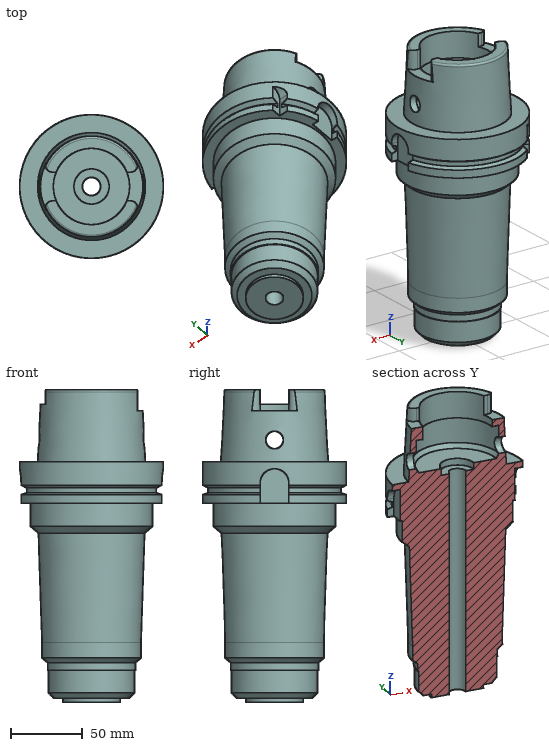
import cadquery as cq
import math


shank_length = 50.0
shank_base_radius = 37.5
shank_end_radius = 35.0
shank_rim_fillet = 1.5

flange_radius = 50.0
flange_bottom_z = -29.0
groove_floor_radius = 46.25
groove_top_z = -16.3
groove_floor_top_z = -18.3
groove_floor_bottom_z = -21.7
groove_bottom_z = -23.0

neck_radius = 42.5
neck_bottom_z = -45.0
body_top_radius = 37.0
body_top_z = -49.7
body_bottom_radius = 34.5
body_taper_end_z = -125.5
body_bottom_z = -136.5
collar_radius = 30.6
collar_top_z = -139.7
collar_bottom_z = -145.0
nose_radius = 30.0
nose_chamfer = 4.0
nose_bottom_z = -164.7
tip_radius = 20.0
tip_bottom_z = -167.4

mouth_radius = 26.5
mouth_bottom_z = 30.0
chamber_radius = 31.5
chamber_wall_end_z = 9.1
chamber_floor_radius = 29.5
chamber_bottom_z = 5.5
recess_radius = 12.25
recess_depth = 5.0
through_radius = 6.25

drive_slot_width = 20.0
left_drive_slot_depth = 10.0
right_drive_slot_depth = 14.5
drive_slot_corner_radius = 5.0
drive_slot_flare_radius = 36.0

cross_hole_diameter = 12.0
cross_hole_z = 15.0

keyway_width = 20.0
keyway_floor_x = 44.0
keyway_top_z = -5.0
notch_floor_x = 32.0
notch_radius = 7.0
notch_center_y = 38.4


def holder_blank():
    """Outer shape of the holder, revolved about Z."""
    outline = [
        (0, shank_length),
        (shank_end_radius, shank_length),
        (shank_base_radius, 0),
        (flange_radius, 0),
        (flange_radius, groove_top_z),
        (groove_floor_radius, groove_floor_top_z),
        (groove_floor_radius, groove_floor_bottom_z),
        (flange_radius, groove_bottom_z),
        (flange_radius, flange_bottom_z),
        (neck_radius, flange_bottom_z),
        (neck_radius, neck_bottom_z),
        (body_top_radius, body_top_z),
        (body_bottom_radius, body_taper_end_z),
        (body_bottom_radius, body_bottom_z),
        (collar_radius, collar_top_z),
        (collar_radius, collar_bottom_z),
        (nose_radius, collar_bottom_z),
        (nose_radius, nose_bottom_z + nose_chamfer),
        (nose_radius - nose_chamfer, nose_bottom_z),
        (tip_radius, nose_bottom_z),
        (tip_radius, tip_bottom_z),
        (0, tip_bottom_z),
    ]
    return cq.Workplane("XZ").polyline(outline).close().revolve(360, (0, 0), (0, 1))


def axial_bores():
    """Mouth, undercut chamber, recess and through hole as one revolved cutter."""
    outline = [
        (0, shank_length),
        (mouth_radius, shank_length),
        (mouth_radius, mouth_bottom_z),
        (chamber_radius, mouth_bottom_z),
        (chamber_radius, chamber_wall_end_z),
        (chamber_floor_radius, chamber_bottom_z),
        (recess_radius, chamber_bottom_z),
        (recess_radius, chamber_bottom_z - recess_depth),
        (through_radius, chamber_bottom_z - recess_depth),
        (through_radius, tip_bottom_z),
        (0, tip_bottom_z),
    ]
    return cq.Workplane("XZ").polyline(outline).close().revolve(360, (0, 0), (0, 1))


def drive_slot(depth):
    """Slot in the +X side of the shank wall, its mouth flared by rounded corners."""
    r = drive_slot_corner_radius
    half_width = drive_slot_width / 2
    center_y = half_width + r
    center_x = math.sqrt((drive_slot_flare_radius - r) ** 2 - center_y ** 2)
    reach = drive_slot_flare_radius / (drive_slot_flare_radius - r)
    tangent_x = center_x * reach
    tangent_y = center_y * reach
    middle_angle = (math.atan2(center_y, center_x) - math.pi / 2) / 2
    middle_x = center_x + r * math.cos(middle_angle)
    middle_y = center_y + r * math.sin(middle_angle)
    return (
        cq.Workplane("XY", origin=(0, 0, shank_length - depth))
        .moveTo(0, -half_width)
        .lineTo(center_x, -half_width)
        .threePointArc((middle_x, -middle_y), (tangent_x, -tangent_y))
        .lineTo(flange_radius, -tangent_y)
        .lineTo(flange_radius, tangent_y)
        .lineTo(tangent_x, tangent_y)
        .threePointArc((middle_x, middle_y), (center_x, half_width))
        .lineTo(0, half_width)
        .close()
        .extrude(depth)
    )


def rim_slot(side, floor_x, center_y, radius):
    """Round-topped slot cut along X into the flange rim, open at the flange underside."""
    arch_z = keyway_top_z - radius
    return (
        cq.Workplane("YZ", origin=(side * floor_x, 0, 0))
        .moveTo(center_y - radius, flange_bottom_z)
        .lineTo(center_y - radius, arch_z)
        .threePointArc((center_y, keyway_top_z), (center_y + radius, arch_z))
        .lineTo(center_y + radius, flange_bottom_z)
        .close()
        .extrude(side * (flange_radius - floor_x))
    )


def cross_hole():
    """Round hole through both shank walls along X."""
    return (
        cq.Workplane("YZ", origin=(0, 0, cross_hole_z))
        .circle(cross_hole_diameter / 2)
        .extrude(shank_base_radius, both=True)
    )


blank = holder_blank().faces(">Z").edges().fillet(shank_rim_fillet)

result = (
    blank.cut(axial_bores())
    .cut(drive_slot(left_drive_slot_depth).mirror("YZ"))
    .cut(drive_slot(right_drive_slot_depth))
    .cut(cross_hole())
    .cut(rim_slot(-1, keyway_floor_x, 0, keyway_width / 2))
    .cut(rim_slot(1, keyway_floor_x, 0, keyway_width / 2))
    .cut(rim_slot(-1, notch_floor_x, notch_center_y, notch_radius))
)